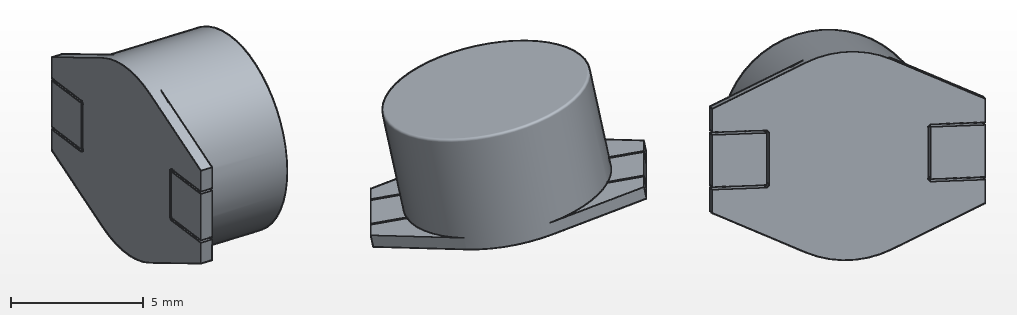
import cadquery as cq
import math

length = 10.5
depth = 4.7
body_radius = 4.0
body_edge_fillet = 0.1

flange_thickness = 0.5
flange_end_height = 4.0

pad_length = 2.1
pad_height = 2.0
pad_gap = 0.1

half_length = length / 2
half_end_height = flange_end_height / 2


def extrude_from_face(sketch, distance):
    """Extrude an XZ sketch from the mounting face towards +Y."""
    return sketch.extrude(-distance)


def make_body():
    body = extrude_from_face(cq.Workplane("XZ").circle(body_radius), depth)
    return body.faces(">Y").edges().fillet(body_edge_fillet)


def make_flange():
    """Plate whose sloped sides run tangent to the round body."""
    corner_distance = math.hypot(half_length, half_end_height)
    corner_angle = math.atan2(half_end_height, half_length)
    tangent_angle = corner_angle + math.acos(body_radius / corner_distance)
    tangent_x = body_radius * math.cos(tangent_angle)
    tangent_z = body_radius * math.sin(tangent_angle)
    outline = (
        cq.Workplane("XZ")
        .moveTo(half_length, -half_end_height)
        .lineTo(half_length, half_end_height)
        .lineTo(tangent_x, tangent_z)
        .threePointArc((0, body_radius), (-tangent_x, tangent_z))
        .lineTo(-half_length, half_end_height)
        .lineTo(-half_length, -half_end_height)
        .lineTo(-tangent_x, -tangent_z)
        .threePointArc((0, -body_radius), (tangent_x, -tangent_z))
        .close()
    )
    return extrude_from_face(outline, flange_thickness)


def make_end_block(side, block_length, block_height):
    """Block of flange thickness reaching inward from the flange end on one side."""
    center_x = side * (half_length - block_length / 2)
    sketch = cq.Workplane("XZ").center(center_x, 0).rect(block_length, block_height)
    return extrude_from_face(sketch, flange_thickness)


def make_pad_recess(side):
    """Opening around a pad, with its inner corners chamfered by the gap width."""
    recess = make_end_block(side, pad_length + pad_gap, pad_height + 2 * pad_gap)
    inner_face = "<X" if side > 0 else ">X"
    return recess.faces(inner_face).edges("|Y").chamfer(pad_gap)


result = make_body().union(make_flange())
for side in (-1, 1):
    result = result.cut(make_pad_recess(side))
    result = result.union(make_end_block(side, pad_length, pad_height))